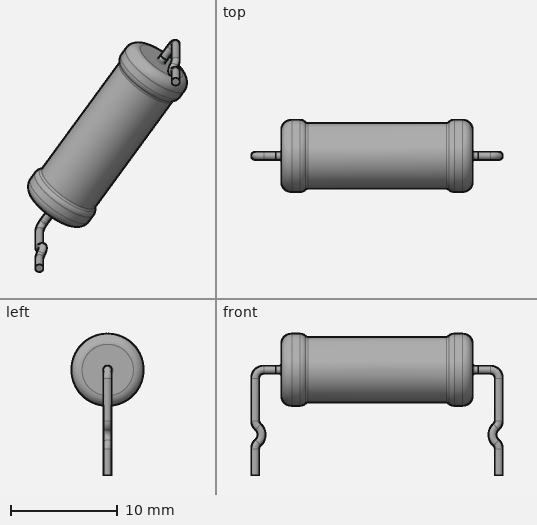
import cadquery as cq
import math

overall_length = 23.65
overall_height = 13.3

body_length = 18.01
cap_diameter = 6.8
barrel_diameter = 6.2
cap_outer_round = 1.0
cap_shoulder_start = 7.23
shoulder_round = 0.7
shoulder_angle = math.radians(45)

stub_end = 9.5
stub_fillet = 0.1

lead_diameter = 0.78
lead_bend_radius = 0.78
kink_top_z = -4.78
kink_half_height = 1.32
kink_outer_radius = 0.78
kink_inner_radius = 1.0

cap_radius = cap_diameter / 2
barrel_radius = barrel_diameter / 2
lead_radius = lead_diameter / 2
body_end = body_length / 2
lead_x = overall_length / 2 - lead_radius
lead_bottom_z = cap_radius - overall_height


def arc_point(center, radius, angle):
    """Point on a circle, with the angle in radians from the first axis."""
    return (center[0] + radius * math.cos(angle), center[1] + radius * math.sin(angle))


def make_half_body():
    """Half of the turned body from the middle to the +X stub."""
    shoulder_drop = cap_radius - barrel_radius
    cove_radius = shoulder_drop / (1 - math.cos(shoulder_angle)) - shoulder_round
    shoulder_center = (cap_shoulder_start, cap_radius - shoulder_round)
    cove_x = cap_shoulder_start - (shoulder_round + cove_radius) * math.sin(shoulder_angle)
    cove_center = (cove_x, barrel_radius + cove_radius)

    up = math.pi / 2
    cap_center = (body_end - cap_outer_round, cap_radius - cap_outer_round)
    fillet_center = (body_end + stub_fillet, lead_radius + stub_fillet)
    profile = (
        cq.Workplane("XY")
        .moveTo(0, 0)
        .lineTo(0, barrel_radius)
        .lineTo(cove_x, barrel_radius)
        .threePointArc(
            arc_point(cove_center, cove_radius, -up + shoulder_angle / 2),
            arc_point(cove_center, cove_radius, -up + shoulder_angle),
        )
        .threePointArc(
            arc_point(shoulder_center, shoulder_round, up + shoulder_angle / 2),
            (cap_shoulder_start, cap_radius),
        )
        .lineTo(cap_center[0], cap_radius)
        .threePointArc(
            arc_point(cap_center, cap_outer_round, up / 2),
            (body_end, cap_center[1]),
        )
        .lineTo(body_end, fillet_center[1])
        .threePointArc(
            arc_point(fillet_center, stub_fillet, -1.5 * up),
            (fillet_center[0], lead_radius),
        )
        .lineTo(stub_end, lead_radius)
        .lineTo(stub_end, 0)
        .close()
    )
    return profile.revolve(360, (0, 0, 0), (1, 0, 0))


def make_body():
    """Body with two matching halves, joined into one solid."""
    half = make_half_body()
    return half.union(half.rotate((0, 0, 0), (0, 0, 1), 180)).clean()


def make_lead():
    """Lead at the +X end: bent downwards, with a kink towards the body."""
    kink_angle = math.asin(kink_half_height / (kink_outer_radius + kink_inner_radius))
    kink_middle_z = kink_top_z - kink_half_height
    kink_bottom_z = kink_top_z - 2 * kink_half_height
    bend_center = (lead_x - lead_bend_radius, -lead_bend_radius)
    top_center = (lead_x - kink_outer_radius, kink_top_z)
    bottom_center = (lead_x - kink_outer_radius, kink_bottom_z)
    kink_reach = (kink_outer_radius + kink_inner_radius) * (1 - math.cos(kink_angle))
    path = (
        cq.Workplane("XZ")
        .moveTo(stub_end, 0)
        .lineTo(bend_center[0], 0)
        .threePointArc(
            arc_point(bend_center, lead_bend_radius, math.pi / 4),
            (lead_x, bend_center[1]),
        )
        .lineTo(lead_x, kink_top_z)
        .threePointArc(
            arc_point(top_center, kink_outer_radius, -kink_angle / 2),
            arc_point(top_center, kink_outer_radius, -kink_angle),
        )
        .threePointArc(
            (lead_x - kink_reach, kink_middle_z),
            arc_point(bottom_center, kink_outer_radius, kink_angle),
        )
        .threePointArc(
            arc_point(bottom_center, kink_outer_radius, kink_angle / 2),
            (lead_x, kink_bottom_z),
        )
        .lineTo(lead_x, lead_bottom_z)
    )
    return cq.Workplane("YZ", origin=(stub_end, 0, 0)).circle(lead_radius).sweep(path)


body = make_body()
leads = []
for turn in (0, 180):
    lead = make_lead().rotate((0, 0, 0), (0, 0, 1), turn)
    leads.append(lead.val())

result = cq.Compound.makeCompound([body.val(), *leads])